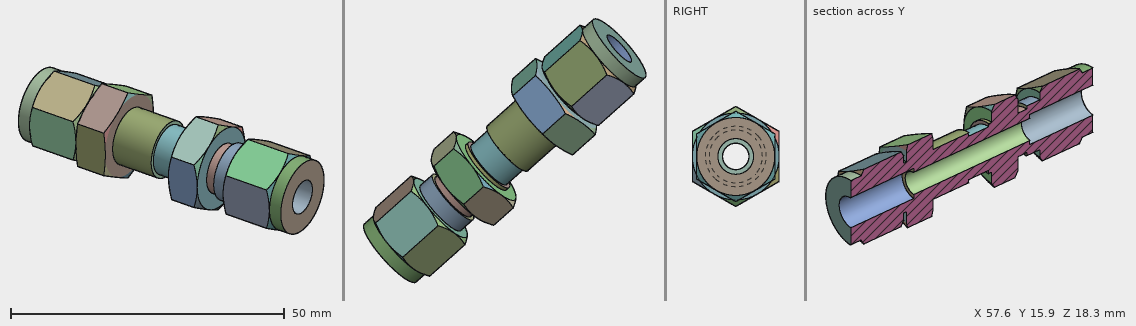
import cadquery as cq
import math

LENGTH = 57.65

COLLAR_LENGTH = 2.5
NUT_HEX_LENGTH = 10.2
NUT_FLATS = 14.3
COLLAR_DIAMETER = 14.25

BODY_FLATS = 15.85
BODY_HEX_START = 13.2
BODY_HEX_LENGTH = 6.45
JAM_NUT_START = 33.5
JAM_NUT_LENGTH = 6.35

THREAD_DIAMETER = 11.05
NECK_DIAMETER = 9.7
SHANK_END = 28.15
WASHER_LENGTH = 0.7
END_THREAD_START = 41.85

CHAMFER_ANGLE = 30.0
BODY_CHAMFER_ANGLE = 16.0

BORE_DIAMETER = 4.8
SOCKET_DIAMETER = 6.5
SOCKET_DEPTH = 15.0


def cylinder(start, end, diameter):
    """Cylinder on the fitting axis from x = start to x = end."""
    return cq.Workplane("YZ", origin=(start, 0, 0)).circle(diameter / 2).extrude(end - start)


def chamfered_hex(start, length, flats, face_diameter, chamfer_angle):
    """Hexagon with flats facing +-Y and its corners turned down by a cone at each end."""
    end = start + length
    corner_radius = flats / 2 / math.cos(math.radians(30))
    prism = (
        cq.Workplane("YZ", origin=(start, 0, 0))
        .transformed(rotate=(0, 0, 90))
        .polygon(6, 2 * corner_radius)
        .extrude(length)
    )
    face_radius = face_diameter / 2
    envelope_radius = 1.1 * corner_radius
    cone_length = (envelope_radius - face_radius) * math.tan(math.radians(chamfer_angle))
    envelope = (
        cq.Workplane("XY")
        .moveTo(start, 0)
        .lineTo(start, face_radius)
        .lineTo(start + cone_length, envelope_radius)
        .lineTo(end - cone_length, envelope_radius)
        .lineTo(end, face_radius)
        .lineTo(end, 0)
        .close()
        .revolve(360, (0, 0, 0), (1, 0, 0))
    )
    return prism.intersect(envelope)


def tube_nut_hex(start):
    return chamfered_hex(start, NUT_HEX_LENGTH, NUT_FLATS, COLLAR_DIAMETER, CHAMFER_ANGLE)


right_collar_start = LENGTH - COLLAR_LENGTH
left_nut = cylinder(0, COLLAR_LENGTH, COLLAR_DIAMETER).union(tube_nut_hex(COLLAR_LENGTH))
right_nut = cylinder(right_collar_start, LENGTH, COLLAR_DIAMETER).union(
    tube_nut_hex(right_collar_start - NUT_HEX_LENGTH)
)

neck = cylinder(COLLAR_LENGTH, right_collar_start, NECK_DIAMETER)
shank = cylinder(COLLAR_LENGTH, SHANK_END, THREAD_DIAMETER)
end_thread = cylinder(END_THREAD_START, right_collar_start, THREAD_DIAMETER)

body_hex = chamfered_hex(BODY_HEX_START, BODY_HEX_LENGTH, BODY_FLATS, BODY_FLATS, BODY_CHAMFER_ANGLE)
jam_nut = chamfered_hex(JAM_NUT_START, JAM_NUT_LENGTH, BODY_FLATS, BODY_FLATS, CHAMFER_ANGLE)
washer_face = cylinder(JAM_NUT_START - WASHER_LENGTH, JAM_NUT_START, THREAD_DIAMETER)

result = neck
for piece in (shank, end_thread, body_hex, washer_face, jam_nut, left_nut, right_nut):
    result = result.union(piece)

result = (
    result.cut(cylinder(0, LENGTH, BORE_DIAMETER))
    .cut(cylinder(0, SOCKET_DEPTH, SOCKET_DIAMETER))
    .cut(cylinder(LENGTH - SOCKET_DEPTH, LENGTH, SOCKET_DIAMETER))
)